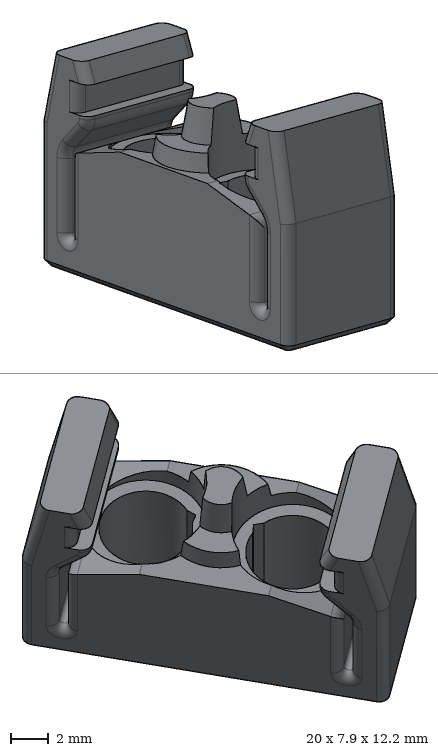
import cadquery as cq
import math

length = 20.0
width = 7.9
height = 12.2
half_length = length / 2
edge_radius = 0.6
upright_angle = math.radians(20)
base_chamfer = 0.4

roof_height = 7.98
roof_flat_half = 3.52
roof_angle = math.radians(15)
roof_corner_radius = 0.8

slot_inner = 7.5
slot_width = 0.5
slot_outer = slot_inner + slot_width
slot_middle = slot_inner + slot_width / 2
slot_radius = slot_width / 2
slot_floor_center = 2.22

left_lean_height = 8.25
right_lean_height = 7.25
arm_top_outer = 9.02
arm_top_inner = 6.7
hook_tip = 6.2
hook_height = 11.0
notch_back = 7.0
lip_height = 9.22
lip_slope_corner = 8.62
bend_radius = 1.0
bend_angle = math.radians(45)
lip_underside = 7.4

hole_offset = 4.0
counterbore_diameter = 6.5
ledge_height = 6.95
hole_radius = 2.5
vee_tip_distance = 2.8
vee_direction = math.radians(-30)
vee_half_angle = math.radians(53)
vee_side = 1.4

boss_y = -0.5
boss_radius = 3.18
boss_top = 9.05
pin_radius = 1.65
pin_top = 11.02
boss_taper = math.radians(10)

roof_end_height = roof_height - (slot_inner - roof_flat_half) * math.tan(roof_angle)


def draw_side(outline, side, lean_height):
    """Add one arm, its slot and half of the roof, from the floor up to the middle of the roof.

    side is +1 for the +X end and -1 for the -X end.
    """
    bend_tangent = bend_radius * math.tan(bend_angle / 2)
    diagonal = bend_tangent * math.cos(bend_angle)
    sagitta = bend_radius * (1 - math.cos(bend_angle / 2))
    sagitta_drop = bend_radius * math.sin(bend_angle / 2)
    lip_bend_start = lip_slope_corner + bend_tangent
    slot_corner = lip_slope_corner - (slot_outer - hook_tip)
    slot_bend_end = slot_corner - bend_tangent

    def at(x, z):
        return (side * x, z)

    return (
        outline
        .lineTo(*at(half_length, 0))
        .lineTo(*at(half_length, lean_height))
        .lineTo(*at(arm_top_outer, height))
        .lineTo(*at(arm_top_inner, height))
        .lineTo(*at(hook_tip, hook_height))
        .lineTo(*at(notch_back, hook_height))
        .lineTo(*at(notch_back, lip_height))
        .lineTo(*at(hook_tip, lip_height))
        .lineTo(*at(hook_tip, lip_bend_start))
        .threePointArc(
            at(hook_tip + sagitta, lip_bend_start - sagitta_drop),
            at(hook_tip + diagonal, lip_slope_corner - diagonal),
        )
        .lineTo(*at(slot_outer - diagonal, slot_corner + diagonal))
        .threePointArc(
            at(slot_outer - sagitta, slot_bend_end + sagitta_drop),
            at(slot_outer, slot_bend_end),
        )
        .lineTo(*at(slot_outer, slot_floor_center))
        .radiusArc(at(slot_middle, slot_floor_center - slot_radius), side * slot_radius)
        .radiusArc(at(slot_inner, slot_floor_center), side * slot_radius)
        .lineTo(*at(slot_inner, roof_end_height))
        .lineTo(*at(roof_flat_half, roof_height))
        .lineTo(*at(0, roof_height))
        .close()
    )


def make_half(side, lean_height):
    start = cq.Workplane("XZ").moveTo(0, 0)
    return draw_side(start, side, lean_height).extrude(width / 2, both=True)


def is_steep(edge):
    """True for every edge except the level ones and the gentle roof slopes."""
    box = edge.BoundingBox()
    return box.zlen > box.xlen * math.tan(upright_angle)


def make_body():
    """Both halves, with the upright edges of the two long sides rounded and the base chamfered."""
    body = make_half(1, right_lean_height).union(make_half(-1, left_lean_height)).clean()
    upright_edges = [edge for edge in body.faces("<Y or >Y").edges().vals() if is_steep(edge)]
    body = body.newObject(upright_edges).fillet(edge_radius)
    return body.faces("<Z").chamfer(base_chamfer)


def make_roof_corner(side):
    """Sliver that is cut away to round one end of the roof."""
    tangent = roof_corner_radius * math.tan((math.pi / 2 - roof_angle) / 2)
    slope_x = slot_inner - tangent * math.cos(roof_angle)
    slope_z = roof_end_height + tangent * math.sin(roof_angle)
    return (
        cq.Workplane("XZ")
        .moveTo(side * slot_inner, roof_end_height - tangent)
        .lineTo(side * slot_inner, roof_end_height)
        .lineTo(side * slope_x, slope_z)
        .radiusArc((side * slot_inner, roof_end_height - tangent), side * roof_corner_radius)
        .close()
        .extrude(width / 2, both=True)
    )


def make_taper(radius, bottom, top):
    """Round post that narrows upwards at the boss taper."""
    top_radius = radius - (top - bottom) * math.tan(boss_taper)
    cone = cq.Solid.makeCone(radius, top_radius, top - bottom, cq.Vector(0, boss_y, bottom))
    return cq.Workplane(cone)


def make_hole(side):
    """Through hole, counterbore and vee; the vee points towards the boss, clear of the arms."""
    hole = cq.Workplane().center(side * hole_offset, 0).circle(hole_radius).extrude(height)
    counterbore = (
        cq.Workplane().workplane(offset=ledge_height)
        .center(side * hole_offset, 0)
        .circle(counterbore_diameter / 2)
        .extrude(pin_top - ledge_height)
    )
    tip_x = vee_tip_distance * math.cos(vee_direction)
    tip_y = vee_tip_distance * math.sin(vee_direction)
    vee_points = [(side * (hole_offset - tip_x), tip_y)]
    for turn in (-vee_half_angle, vee_half_angle):
        angle = vee_direction + turn
        x = tip_x - vee_side * math.cos(angle)
        y = tip_y - vee_side * math.sin(angle)
        vee_points.append((side * (hole_offset - x), y))
    vee = cq.Workplane().polyline(vee_points).close().extrude(height)
    between_hooks = cq.Workplane().box(2 * hook_tip, width, pin_top, centered=(True, True, False))
    under_lips = cq.Workplane().box(2 * slot_inner, width, lip_underside, centered=(True, True, False))
    return hole.union(counterbore).union(vee).intersect(between_hooks.union(under_lips))


result = make_body()
result = result.union(make_taper(boss_radius, roof_height, boss_top))
result = result.union(make_taper(pin_radius, boss_top, pin_top))
for side in (-1, 1):
    result = result.cut(make_roof_corner(side)).cut(make_hole(side))